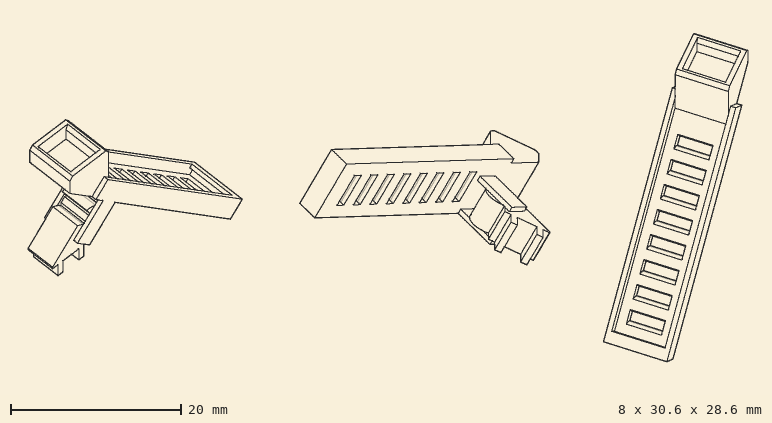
import cadquery as cq
import math

OVERALL_DEPTH = 30.65
OVERALL_HEIGHT = 28.65
SLANT = math.sqrt(0.5)

arm_width = 8.0
arm_length = 31.42
arm_thickness = 2.82
side_wall = 0.65
end_lip_length = 1.5
end_lip_thickness = 0.52
channel_depth = 1.4
channel_width = arm_width - 2 * side_wall
channel_floor = arm_thickness - channel_depth

slot_count = 8
slot_pitch = 3.1
slot_length = 4.4
throat_start = 2.85
throat_width = 1.25
throat_height = 0.55
mouth_flare = 0.28

cup_back = -19.45
cup_length = 6.4
cup_front = cup_back - cup_length
cup_chamfer_length = 0.45
cup_chamfer_height = 0.55
cup_wall = 0.77
recess_width = channel_width - 2 * side_wall
recess_taper = 0.28
recess_taper_depth = 0.8
recess_depth = 2.48

ear_pair_width = 5.52
ear_thickness = 0.65
ear_start = 26.9
ear_width = 2.82
ear_length = 5.98
ear_pair_right = arm_width / 2
ear_pair_left = ear_pair_right - ear_pair_width
ear_pair_middle = ear_pair_right - ear_pair_width / 2
ear_gap = ear_pair_width - 2 * ear_thickness
bar_sides = 8
pin_radius = 1.07

foot_width = 4.1
clip_radius = 1.87
clip_offset = 0.15
bore_radius = 1.13
hook_start = 0.92
hook_reach = 2.3
lip_half_gap = 1.07
neck_reach = 1.35
neck_half_gap = 0.77
foot_back = -22.68
foot_base = 14.4
foot_tip = arm_thickness * SLANT - OVERALL_DEPTH
toe_height = 0.28
leg_width = 0.83
leg_height = 2.02
leg_backs = (-23.5, -26.95)


def on_arm(along, height):
    """(Y, Z) of a place given by distance up the arm and height above its underside."""
    return ((height - along) * SLANT, (height + along) * SLANT)


def prism(points, width, middle=0.0):
    """Solid with a (Y, Z) outline, centred across X on `middle`."""
    plane = cq.Workplane("YZ", origin=(middle - width / 2, 0, 0))
    return plane.polyline(points).close().extrude(width)


def arm_block(start, end, bottom, top, width, middle=0.0):
    """Box aligned with the arm."""
    corners = [(start, bottom), (end, bottom), (end, top), (start, top)]
    return prism([on_arm(*corner) for corner in corners], width, middle)


pivot_along = ear_start + ear_width / 2
pivot = on_arm(pivot_along, -ear_length / 2)
lip_reach = (foot_base + toe_height - foot_tip) * SLANT - pivot_along


def near_pivot(along, height):
    """(Y, Z) of a place given by distances from the pivot, up the arm and towards the arm."""
    return (pivot[0] + (height - along) * SLANT, pivot[1] + (height + along) * SLANT)


def make_beam():
    beam = arm_block(0, arm_length, 0, arm_thickness, arm_width)
    end_lip_bottom = arm_thickness - end_lip_thickness
    beam = beam.cut(arm_block(end_lip_length, arm_length, end_lip_bottom, arm_thickness, channel_width))
    return beam.cut(arm_block(side_wall, arm_length, channel_floor, end_lip_bottom, channel_width))


def make_slot(offset):
    throat_end = throat_start + throat_width
    profile = [
        (throat_start, 0),
        (throat_end, 0),
        (throat_end, throat_height),
        (throat_end + mouth_flare, channel_floor),
        (throat_start - mouth_flare, channel_floor),
        (throat_start, throat_height),
    ]
    return prism([on_arm(along + offset, height) for along, height in profile], slot_length)


def make_cup():
    shoulder = OVERALL_HEIGHT - cup_chamfer_height
    outline = [
        (cup_back, -cup_back),
        (cup_back, shoulder),
        (cup_back - cup_chamfer_length, OVERALL_HEIGHT),
        (cup_front + cup_chamfer_length, OVERALL_HEIGHT),
        (cup_front, shoulder),
        (cup_front, -cup_front),
    ]
    return prism(outline, channel_width)


def make_cup_recess():
    back = cup_back - cup_wall
    front = cup_front + cup_wall
    taper_end = OVERALL_HEIGHT - recess_taper_depth
    floor = OVERALL_HEIGHT - recess_depth
    outline = [
        (back, OVERALL_HEIGHT),
        (back - recess_taper, taper_end),
        (back - recess_taper, floor),
        (front + recess_taper, floor),
        (front + recess_taper, taper_end),
        (front, OVERALL_HEIGHT),
    ]
    return prism(outline, recess_width)


def make_ear(middle):
    return arm_block(ear_start, ear_start + ear_width, -ear_length, 0, ear_thickness, middle)


def octagon_bar(radius, width):
    """Eight-sided bar across the ears, with one flat facing straight up the arm."""
    step = 2 * math.pi / bar_sides
    corners = []
    for side in range(bar_sides):
        angle = (side + 0.5) * step
        corners.append(near_pivot(radius * math.cos(angle), radius * math.sin(angle)))
    return prism(corners, width, ear_pair_middle)


def make_arm():
    arm = make_beam()
    for index in range(slot_count):
        arm = arm.cut(make_slot(index * slot_pitch))
    arm = arm.union(make_cup()).cut(make_cup_recess())
    for middle in (ear_pair_left + ear_thickness / 2, ear_pair_right - ear_thickness / 2):
        arm = arm.union(make_ear(middle))
    return arm.union(octagon_bar(pin_radius, ear_gap))


def make_foot_body():
    clip_centre = near_pivot(-clip_offset, 0)
    heel_drop = math.sqrt(clip_radius**2 - (foot_back - clip_centre[0]) ** 2)
    plane = cq.Workplane("YZ", origin=(ear_pair_middle - foot_width / 2, 0, 0))
    outline = (
        plane.moveTo(foot_back, foot_base)
        .lineTo(foot_back, clip_centre[1] - heel_drop)
        .threePointArc(near_pivot(-clip_offset - clip_radius, 0), near_pivot(-clip_offset, clip_radius))
        .lineTo(*near_pivot(hook_start, clip_radius))
        .tangentArcPoint(near_pivot(hook_reach, lip_half_gap), relative=False)
        .lineTo(*near_pivot(neck_reach, neck_half_gap))
        .lineTo(*near_pivot(0, neck_half_gap))
        .lineTo(*near_pivot(0, -neck_half_gap))
        .lineTo(*near_pivot(neck_reach, -neck_half_gap))
        .lineTo(*near_pivot(lip_reach, -lip_half_gap))
        .lineTo(foot_tip, foot_base + toe_height)
        .lineTo(foot_tip, foot_base)
        .close()
    )
    return outline.extrude(foot_width).cut(octagon_bar(bore_radius, foot_width))


def make_leg(back):
    bottom = foot_base - leg_height
    front = back - leg_width
    corners = [(back, bottom), (back, foot_base), (front, foot_base), (front, bottom)]
    return prism(corners, foot_width, ear_pair_middle)


def make_foot():
    foot = make_foot_body()
    for back in leg_backs:
        foot = foot.union(make_leg(back))
    return foot


arm = make_arm()
foot = make_foot()
result = cq.Compound.makeCompound([arm.val(), foot.val()])